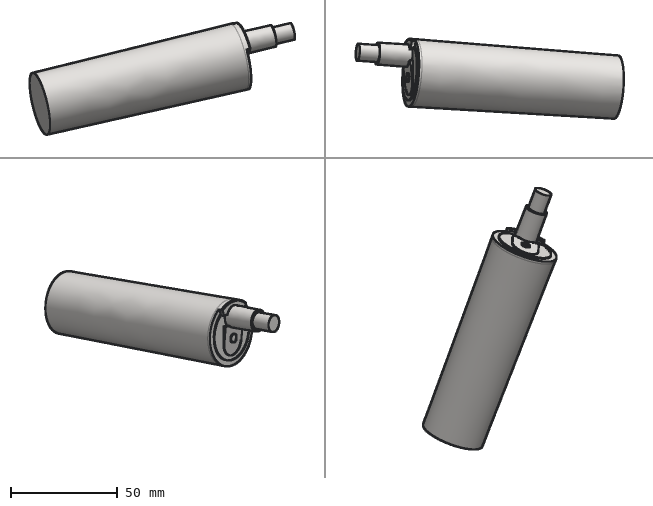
import cadquery as cq

total_length = 124.7
rear_diameter = 29.8
rim_diameter = 31.83
body_length = 97.8
rim_height = 1.3
rim_face = body_length + rim_height

disc_diameter = 26.0
disc_height = 0.5
disc_face = rim_face + disc_height

pad_width = 18.6
pad_bottom = 9.9
pad_face = rim_face + 1.9
pad_edge_chamfer = 0.4
scallop_radius = 3.4
scallop_x = 11.4
scallop_z = 10.2

spigot_offset = 8.2
spigot_base_diameter = 10.75
spigot_step_diameter = 10.4
spigot_tip_diameter = 8.09
spigot_tip_length = 9.5
spigot_step = total_length - spigot_tip_length

support_width = 12.8
support_radius = support_width / 2
support_top = 4.3
support_end_center = -4.3
support_bottom = support_end_center - support_radius
support_face = rim_face + 1.9

pin_diameter = 4.2
pin_z = -2.3
pin_face = support_face - 0.2


def cone(start, end, start_diameter, end_diameter, z=0, x=0):
    """Solid of revolution about the Y-parallel axis through (x, z), from Y = start to Y = end."""
    profile = [
        (0, start),
        (start_diameter / 2, start),
        (end_diameter / 2, end),
        (0, end),
    ]
    turned = cq.Workplane("XY").polyline(profile).close().revolve(360, (0, 0, 0), (0, 1, 0))
    return turned.translate((x, 0, z))


def cylinder(start, end, diameter, z=0, x=0):
    return cone(start, end, diameter, diameter, z, x)


def make_pad():
    """Pad trimmed to the round rim, with a chamfered outer edge and a scallop at each end."""
    pad_height = rim_diameter / 2 - pad_bottom
    pad_depth = pad_face - body_length
    block = cq.Workplane("XY").box(pad_width, pad_depth, pad_height, centered=(True, False, False))
    block = block.translate((0, body_length, pad_bottom))
    round_blank = cylinder(body_length, pad_face, rim_diameter).faces(">Y").chamfer(pad_edge_chamfer)
    pad = block.intersect(round_blank)
    for side in (-1, 1):
        pad = pad.cut(cylinder(rim_face, pad_face, 2 * scallop_radius, scallop_z, side * scallop_x))
    return pad


def make_support():
    """Round-ended plate whose face slopes down to the disc at its lower end."""
    side_profile = [
        (body_length, support_bottom),
        (disc_face, support_bottom),
        (support_face, support_top),
        (body_length, support_top),
    ]
    wedge = cq.Workplane("YZ").polyline(side_profile).close().extrude(support_radius, both=True)
    outline = (
        cq.Workplane("XZ", origin=(0, body_length, 0))
        .moveTo(-support_radius, support_top)
        .lineTo(-support_radius, support_end_center)
        .threePointArc((0, support_bottom), (support_radius, support_end_center))
        .lineTo(support_radius, support_top)
        .close()
        .extrude(body_length - support_face)
    )
    return wedge.intersect(outline)


def make_spigot():
    sleeve = cone(body_length, spigot_step, spigot_base_diameter, spigot_step_diameter, spigot_offset)
    tip = cylinder(spigot_step, total_length, spigot_tip_diameter, spigot_offset)
    return sleeve.union(tip)


body = cone(0, body_length, rear_diameter, rim_diameter)
rim = cylinder(body_length, rim_face, rim_diameter)
disc = cylinder(body_length, disc_face, disc_diameter)
pin = cylinder(body_length, pin_face, pin_diameter, pin_z)

result = body.union(rim).union(disc).union(make_pad())
result = result.union(make_support()).union(make_spigot()).union(pin)